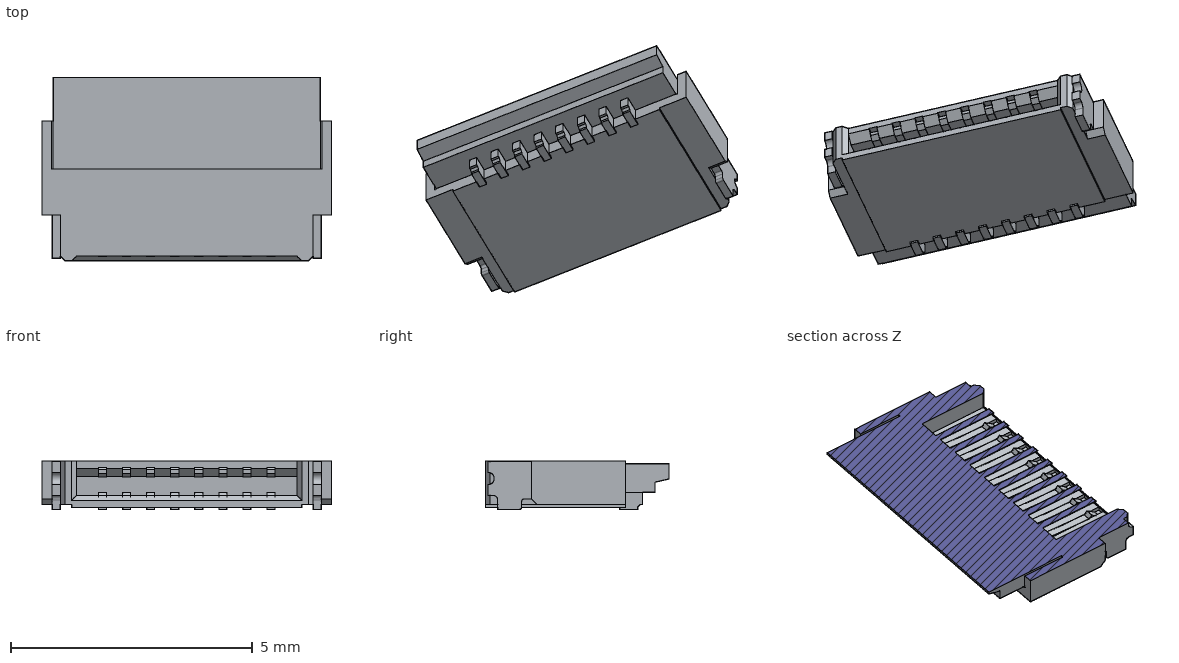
import cadquery as cq


width = 6.0
height = 1.01
housing_depth = 2.9
nose_width = 5.23
ear_front = 0.95
side_bottom = 0.1
keel_width = 4.765
keel_bottom = 0.04
ear_chamfer = 0.12
nose_chamfer = 0.095

mouth_width = 4.56
mouth_depth = 1.68
floor_z = 0.295
roof_z = 0.685
lead_in = 0.1
roof_lead_in = 0.17

cover_width = 5.525
cover_front = 1.91
cover_back = 3.8
cover_top = 0.95
cover_bottom = 0.355
cover_step_y = 3.51
cover_step_z = 0.565
cover_edge_z = 0.63
pocket_gap = 0.035

contact_count = 8
contact_pitch = 0.5
contact_width = 0.17
tail_back = 3.25
tail_front = 2.78
tail_shoulder_z = 0.1
tail_chamfer = 0.05
foot_back = 3.155
slot_front = 0.095
slot_bottom = 0.21
upper_slot_top = 0.87
tip_y = 0.19
tip_bottom = 0.75
tip_rise = 0.04
tip_drop = 0.08
tip_run = 0.11
bump_y = 0.41
bump_z = 0.355
bump_front = 0.205
bump_back = 0.48
arm_front_z = 0.28
arm_back_z = 0.34

clip_thickness = 0.17
clip_front = 0.055
clip_top = 0.99
clip_bottom = 0.22
clip_front_bottom = 0.295
notch_radius = 0.125
notch_z = 0.64
leg_front = 0.25
leg_back = 0.75
leg_front_fillet = 0.095
leg_back_fillet = 0.055
foot_fillet = 0.05


def box(size_x, y_range, z_range):
    """Box centred on X = 0."""
    y0, y1 = y_range
    z0, z1 = z_range
    block = cq.Workplane("XY", origin=(0, y0, z0))
    return block.box(size_x, y1 - y0, z1 - z0, centered=(True, False, False))


def side_profile(points, size_x):
    """Prism with a closed (Y, Z) outline, centred on X = 0."""
    return cq.Workplane("YZ").polyline(points).close().extrude(size_x / 2, both=True)


def make_housing():
    nose = box(nose_width, (0, housing_depth), (side_bottom, height))
    nose = nose.edges("|Z and <Y").chamfer(nose_chamfer)
    ears = box(width, (ear_front, housing_depth), (side_bottom, height))
    ears = ears.edges("<Y and <Z").chamfer(ear_chamfer)
    keel = box(keel_width, (0, housing_depth), (keel_bottom, height))
    return nose.union(ears).union(keel)


def make_mouth():
    roof_edge_z = roof_z + roof_lead_in
    cavity = box(mouth_width, (0, mouth_depth), (floor_z, roof_z))
    roof_bevel = side_profile(
        [
            (0, floor_z),
            (0, roof_edge_z),
            (lead_in, roof_edge_z),
            (lead_in + roof_lead_in, roof_z),
            (lead_in + roof_lead_in, floor_z),
        ],
        mouth_width,
    )
    lead_in_cut = (
        cq.Workplane("XZ")
        .center(0, floor_z + height)
        .rect(mouth_width + 2 * lead_in, 2 * (height + lead_in))
        .workplane(offset=-lead_in)
        .rect(mouth_width, 2 * height)
        .loft()
    )
    return cavity.union(roof_bevel).union(lead_in_cut)


def make_cover_pocket():
    return box(cover_width + 2 * pocket_gap, (cover_front, housing_depth), (cover_bottom, height))


def make_cover():
    return side_profile(
        [
            (cover_front, cover_bottom),
            (cover_front, cover_top),
            (cover_back, cover_top),
            (cover_back, cover_edge_z),
            (cover_step_y, cover_step_z),
            (cover_step_y, cover_bottom),
        ],
        cover_width,
    )


def make_contact_slots():
    lower = box(contact_width, (slot_front, mouth_depth), (slot_bottom, floor_z))
    upper = box(contact_width, (lead_in, mouth_depth), (roof_z, upper_slot_top))
    return lower.union(upper)


def make_contact():
    lower_arm = side_profile(
        [
            (bump_front, slot_bottom),
            (bump_y, bump_z),
            (bump_back, arm_front_z),
            (mouth_depth, arm_back_z),
            (mouth_depth, slot_bottom),
        ],
        contact_width,
    )
    upper_arm = side_profile(
        [
            (tip_y, tip_bottom),
            (tip_y, upper_slot_top - tip_rise),
            (tip_y + tip_rise, upper_slot_top),
            (mouth_depth, upper_slot_top),
            (mouth_depth, tip_bottom - tip_drop),
            (tip_y + tip_run, tip_bottom - tip_drop),
        ],
        contact_width,
    )
    tail = side_profile(
        [
            (tail_front, 0),
            (tail_front, cover_bottom),
            (tail_back, cover_bottom),
            (tail_back, tail_shoulder_z),
            (foot_back + tail_chamfer, tail_shoulder_z),
            (foot_back, tail_shoulder_z - tail_chamfer),
            (foot_back, 0),
        ],
        contact_width,
    )
    return lower_arm.union(upper_arm).union(tail)


def make_clip():
    """Clip on the -X side, flat against the nose and reaching back to the ear."""
    clip = (
        cq.Workplane("YZ", origin=(-nose_width / 2 - clip_thickness, 0, 0))
        .moveTo(ear_front, clip_top)
        .lineTo(clip_front, clip_top)
        .lineTo(clip_front, notch_z + notch_radius)
        .threePointArc((clip_front + notch_radius, notch_z), (clip_front, notch_z - notch_radius))
        .lineTo(clip_front, clip_front_bottom)
        .lineTo(leg_front, clip_front_bottom)
        .lineTo(leg_front, 0)
        .lineTo(leg_back, 0)
        .lineTo(leg_back, clip_bottom)
        .lineTo(ear_front, clip_bottom)
        .close()
        .extrude(clip_thickness)
    )
    for y, z, radius in (
        (leg_front, clip_front_bottom, leg_front_fillet),
        (leg_back, clip_bottom, leg_back_fillet),
        (leg_back, 0, foot_fillet),
    ):
        corner = cq.NearestToPointSelector((-(nose_width + clip_thickness) / 2, y, z))
        clip = clip.edges(corner).fillet(radius)
    return clip


contact_row = [(i - (contact_count - 1) / 2) * contact_pitch for i in range(contact_count)]

result = make_housing().cut(make_mouth()).cut(make_cover_pocket()).union(make_cover())
for x in contact_row:
    result = result.cut(make_contact_slots().translate((x, 0, 0)))
    result = result.union(make_contact().translate((x, 0, 0)))

left_clip = make_clip()
result = result.union(left_clip).union(left_clip.mirror("YZ"))